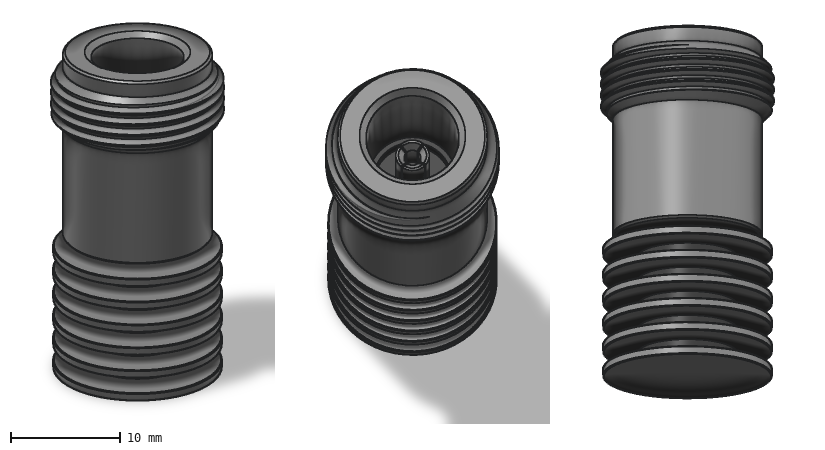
import cadquery as cq
import math

total_height = 31.5

fin_count = 6
fin_diameter = 15.5
fin_thickness = 0.8
fin_edge_chamfer = 0.1
fin_stack_height = 12.22
fin_core_diameter = 8.95
fin_pitch = (fin_stack_height - fin_thickness) / (fin_count - 1)

neck_diameter = 7.2
body_diameter = 13.7
body_bottom = 13.23
body_chamfer = 0.22

thread_diameter = 15.88
collar_bottom = 24.38
collar_top = 30.0
thread_radius = thread_diameter / 2

pitches_per_diameter = 15
pitch = thread_diameter / pitches_per_diameter
flank_angle = math.radians(30)
sharp_height = pitch / 2 / math.tan(flank_angle)
thread_depth = 5 / 8 * sharp_height
root_width = pitch / 4
groove_start = 24.15
groove_turns = 6
groove_clearance = 0.05
rod_overhang = 1.58

entry_diameter = 9.7
taper_top_diameter = 8.5
taper_floor_diameter = 8.03
inner_bore_diameter = 7.0
entry_depth = 0.47
taper_depth = 9.15
socket_depth = 10.08

contact_diameter = 3.05
contact_top = total_height - 4.28
contact_hole_diameter = 1.5
contact_mouth_diameter = 2.58
contact_hole_depth = 3.15
contact_slot_width = 0.15
contact_slot_depth = 2.52


def cylinder(diameter, bottom, height):
    return cq.Workplane("XY").workplane(offset=bottom).circle(diameter / 2).extrude(height)


def revolve_about_axis(points):
    """Turn a closed (radius, height) outline about the Z axis."""
    return cq.Workplane("XZ").polyline(points).close().revolve(360, (0, 0, 0), (0, 1, 0))


def make_finned_barrel():
    barrel = cylinder(fin_core_diameter, 0, fin_stack_height)
    for index in range(fin_count):
        fin = cylinder(fin_diameter, index * fin_pitch, fin_thickness).edges().chamfer(fin_edge_chamfer)
        barrel = barrel.union(fin)
    return barrel


def make_body():
    body = cylinder(body_diameter, body_bottom, total_height - body_bottom).edges().chamfer(body_chamfer)
    neck = cylinder(neck_diameter, fin_stack_height, body_bottom - fin_stack_height)
    return body.union(neck)


def make_groove():
    """Right-handed helical groove with the trapezoid section of a unified thread."""
    root_radius = thread_radius - thread_depth
    outer_radius = thread_radius + groove_clearance
    root_half = root_width / 2
    outer_half = root_half + (outer_radius - root_radius) * math.tan(flank_angle)
    helix = cq.Wire.makeHelix(pitch, groove_turns * pitch, root_radius, cq.Vector(0, 0, groove_start))
    section = cq.Workplane("XZ").polyline([
        (root_radius, groove_start - root_half),
        (outer_radius, groove_start - outer_half),
        (outer_radius, groove_start + outer_half),
        (root_radius, groove_start + root_half),
    ]).close()
    return section.sweep(cq.Workplane(obj=helix), isFrenet=True)


def make_collar():
    """Threaded rod trimmed by two 45 degree cones, so that the groove runs out through both ends."""
    body_radius = body_diameter / 2
    half_length = (collar_top - collar_bottom) / 2
    trim = revolve_about_axis([
        (0, collar_bottom),
        (body_radius, collar_bottom),
        (body_radius + half_length, collar_bottom + half_length),
        (body_radius, collar_top),
        (0, collar_top),
    ])
    rod_height = groove_turns * pitch + 2 * rod_overhang
    rod = cylinder(thread_diameter, groove_start - rod_overhang, rod_height)
    return rod.cut(make_groove()).intersect(trim)


def make_socket():
    """Solid shape of the stepped opening in the top face."""
    return revolve_about_axis([
        (0, total_height),
        (entry_diameter / 2, total_height),
        (taper_top_diameter / 2, total_height - entry_depth),
        (taper_floor_diameter / 2, total_height - taper_depth),
        (inner_bore_diameter / 2, total_height - taper_depth),
        (inner_bore_diameter / 2, total_height - socket_depth),
        (0, total_height - socket_depth),
    ])


def make_contact():
    floor = total_height - socket_depth
    mouth_depth = (contact_mouth_diameter - contact_hole_diameter) / 2
    hole = revolve_about_axis([
        (0, contact_top),
        (contact_mouth_diameter / 2, contact_top),
        (contact_hole_diameter / 2, contact_top - mouth_depth),
        (contact_hole_diameter / 2, contact_top - contact_hole_depth),
        (0, contact_top - contact_hole_depth),
    ])
    contact = cylinder(contact_diameter, floor, contact_top - floor).cut(hole)
    for angle in (0, 90):
        slot = (
            cq.Workplane("XY")
            .workplane(offset=contact_top)
            .rect(contact_diameter, contact_slot_width)
            .extrude(-contact_slot_depth)
            .rotate((0, 0, 0), (0, 0, 1), angle)
        )
        contact = contact.cut(slot)
    return contact


shell = make_finned_barrel().union(make_body()).union(make_collar()).cut(make_socket())
result = shell.union(make_contact())